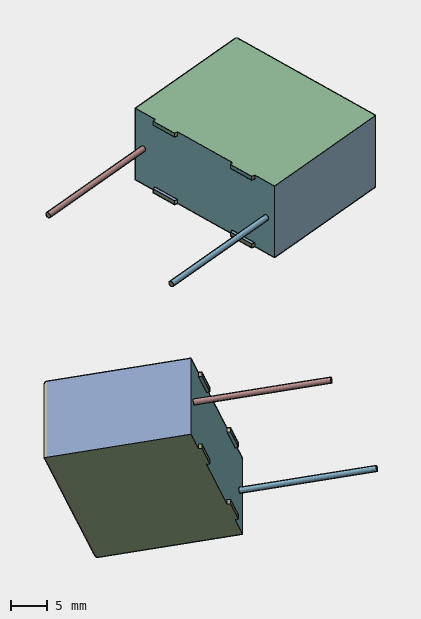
import cadquery as cq

case_width = 25.5
case_height = 12.5
overall_length = 40.5
lead_length = 19.5
case_depth = overall_length - lead_length
back_edge_radius = 0.53

tab_root_width = 4.17
tab_tip_width = 3.9
tab_thickness = 0.7
tab_projection = 0.5
tab_spacing = 14.15

lead_diameter = 0.85
lead_spacing = 22.5


def make_tab(center_x, bottom_z):
    """Standoff tab whose two sides slope inward from root to tip."""
    half_root = tab_root_width / 2
    half_tip = tab_tip_width / 2
    outline = (
        cq.Workplane("XY", origin=(center_x, 0, bottom_z))
        .moveTo(-half_root, 0)
        .lineTo(-half_tip, -tab_projection)
        .lineTo(half_tip, -tab_projection)
        .lineTo(half_root, 0)
        .close()
    )
    return outline.extrude(tab_thickness)


def make_case():
    """Box with a rounded rim around its back face and four standoff tabs."""
    case = (
        cq.Workplane("XY")
        .box(case_width, case_depth, case_height, centered=(True, False, True))
        .faces(">Y")
        .edges()
        .fillet(back_edge_radius)
    )
    lower_tab_z = -case_height / 2
    upper_tab_z = case_height / 2 - tab_thickness
    for center_x in (-tab_spacing / 2, tab_spacing / 2):
        for bottom_z in (lower_tab_z, upper_tab_z):
            case = case.union(make_tab(center_x, bottom_z))
    return case


def make_lead(center_x):
    """Straight wire running forward from the front face of the case."""
    return (
        cq.Workplane("XZ", origin=(center_x, 0, 0))
        .circle(lead_diameter / 2)
        .extrude(lead_length)
    )


case = make_case()
leads = [make_lead(center_x) for center_x in (-lead_spacing / 2, lead_spacing / 2)]

result = cq.Compound.makeCompound([case.val(), *[lead.val() for lead in leads]])